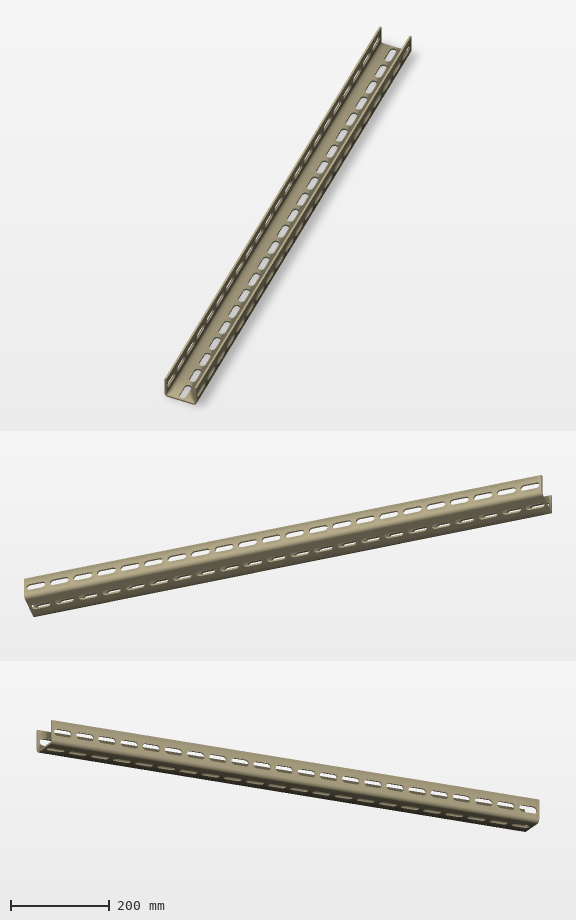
import cadquery as cq

length = 1100.0
width = 70.0
height = 50.0

thickness = 4.0
inner_bend_radius = thickness
outer_bend_radius = inner_bend_radius + thickness

slot_count = 22
slot_pitch = length / slot_count
slot_length = 40.0
slot_width = 14.0
flange_slot_height = height / 2


def rounded_trough(trough_width, floor_level, bend_radius):
    """Solid block along Y from the floor level to the flange tops, lower long edges rounded."""
    return (
        cq.Workplane("XY", origin=(0, 0, floor_level))
        .rect(trough_width, length)
        .extrude(height - floor_level)
        .edges("|Y and <Z")
        .fillet(bend_radius)
    )


def slot_row(plane, row_centre, reach):
    """Cutters for a row of slots along Y, extending by reach to both sides of the plane.

    The plane must have Y as its local x axis, so that the slots and the row run along Y.
    """
    return (
        cq.Workplane(plane, origin=row_centre)
        .rarray(slot_pitch, 11, slot_count, 1)
        .slot2D(slot_length, slot_width)
        .extrude(reach, both=True)
    )


outside = rounded_trough(width, 0, outer_bend_radius)
inside = rounded_trough(width - 2 * thickness, thickness, inner_bend_radius)
channel = outside.cut(inside)

web_slots = slot_row("YX", (0, 0, 0), 2 * thickness)
flange_slots = slot_row("YZ", (0, 0, flange_slot_height), width)

result = channel.cut(web_slots).cut(flange_slots)